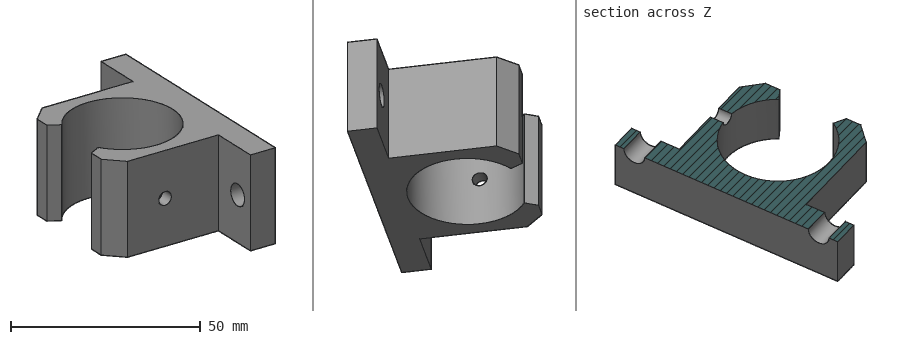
import cadquery as cq

plate_width = 70.0
plate_thickness = 8.0
height = 28.0
screw_hole_diameter = 6.45
screw_hole_spacing = 57.95

depth = 42.0
body_width = 40.0
corner_chamfer = 5.0
bore_diameter = 32.0
bore_to_back = 25.0

mouth_inner_width = 17.1
mouth_outer_width = 20.85
mouth_inner_to_front = 3.35

cross_hole_diameter = 4.0

back_y = bore_to_back
front_y = back_y - depth
mouth_inner_y = front_y + mouth_inner_to_front


def make_plate():
    plate = cq.Workplane("XY").box(plate_width, plate_thickness, height)
    return plate.translate((0, back_y - plate_thickness / 2, 0))


def make_body():
    body = cq.Workplane("XY").box(body_width, depth, height)
    body = body.translate((0, back_y - depth / 2, 0))
    return body.edges("|Z and <Y").chamfer(corner_chamfer)


def make_bore():
    return cq.Workplane("XY").circle(bore_diameter / 2).extrude(height / 2, both=True)


def make_mouth():
    return (
        cq.Workplane("XY")
        .moveTo(-mouth_inner_width / 2, 0)
        .lineTo(-mouth_inner_width / 2, mouth_inner_y)
        .lineTo(-mouth_outer_width / 2, front_y)
        .lineTo(mouth_outer_width / 2, front_y)
        .lineTo(mouth_inner_width / 2, mouth_inner_y)
        .lineTo(mouth_inner_width / 2, 0)
        .close()
        .extrude(height / 2, both=True)
    )


def make_screw_holes():
    return (
        cq.Workplane("XZ", origin=(0, back_y, 0))
        .pushPoints([(side * screw_hole_spacing / 2, 0) for side in (-1, 1)])
        .circle(screw_hole_diameter / 2)
        .extrude(plate_thickness)
    )


def make_cross_hole():
    return cq.Workplane("YZ").circle(cross_hole_diameter / 2).extrude(body_width / 2)


result = make_plate().union(make_body())
for cutter in (make_bore(), make_mouth(), make_screw_holes(), make_cross_hole()):
    result = result.cut(cutter)